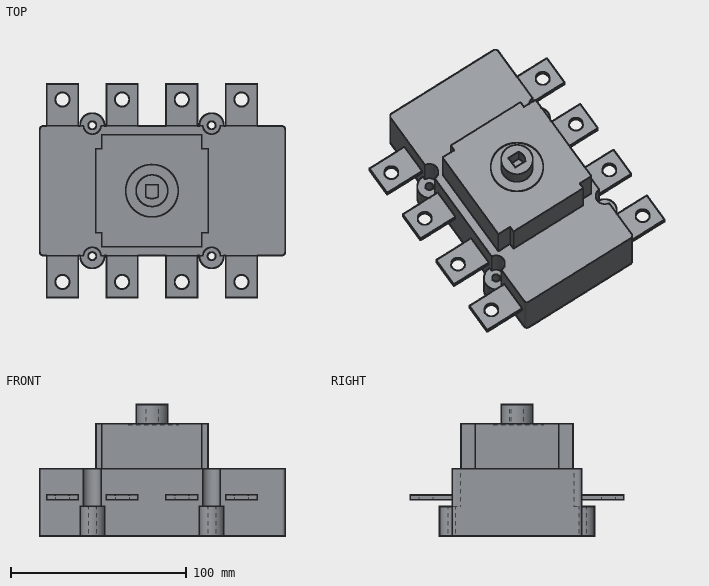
import cadquery as cq

body_length = 140.0
body_width = 73.9
body_height = 38.5
body_left_reach = 64.0
body_corner_radius = 2.0

cover_size = 64.0
cover_neck_length = 57.0
cover_wing_width = 47.9
cover_height = 25.6

knob_diameter = 18.0
total_height = 75.0
recess_diameter = 30.0
recess_depth = 0.5
socket_size = 7.0
socket_bulge = 1.0

terminal_pitch = 34.0
terminal_count = 4
terminal_width = 18.0
terminal_thickness = 3.0
terminal_bottom = 20.6
terminal_span = 122.0
terminal_hole_diameter = 8.0
terminal_hole_spacing = 104.0

post_spacing_x = 2 * terminal_pitch
post_spacing_y = 74.6
post_diameter = 14.0
post_height = 17.0
post_hole_diameter = 4.5
channel_diameter = 10.1

cover_top = body_height + cover_height
recess_floor = cover_top - recess_depth
socket_depth = total_height - cover_top


def block(length, width, height, bottom):
    """Box centred on the Z axis, standing on the given level."""
    return (
        cq.Workplane("XY")
        .workplane(offset=bottom)
        .rect(length, width)
        .extrude(height)
    )


def cylinders(points, diameter, bottom, top):
    """Upright cylinders of one diameter at several places."""
    return (
        cq.Workplane("XY")
        .workplane(offset=bottom)
        .pushPoints(points)
        .circle(diameter / 2)
        .extrude(top - bottom)
    )


def make_body():
    body_center_x = body_length / 2 - body_left_reach
    body = block(body_length, body_width, body_height, 0)
    return body.edges("|Z").fillet(body_corner_radius).translate((body_center_x, 0, 0))


def make_cover():
    neck = block(cover_neck_length, cover_size, cover_height, body_height)
    wings = block(cover_size, cover_wing_width, cover_height, body_height)
    recess = cylinders([(0, 0)], recess_diameter, recess_floor, cover_top)
    return neck.union(wings).cut(recess)


def make_knob():
    """Round knob with a square socket whose -Y wall bulges outwards."""
    half = socket_size / 2
    socket = (
        cq.Workplane("XY")
        .workplane(offset=total_height - socket_depth)
        .moveTo(half, -half)
        .lineTo(half, half)
        .lineTo(-half, half)
        .lineTo(-half, -half)
        .threePointArc((0, -half - socket_bulge), (half, -half))
        .close()
        .extrude(socket_depth)
    )
    return cylinders([(0, 0)], knob_diameter, recess_floor, total_height).cut(socket)


def make_terminals():
    """Strips across the body, so each one shows as a terminal on both sides."""
    terminal_top = terminal_bottom + terminal_thickness
    first_x = -terminal_pitch * (terminal_count - 1) / 2
    centers_x = [first_x + i * terminal_pitch for i in range(terminal_count)]
    strips = (
        cq.Workplane("XY")
        .workplane(offset=terminal_bottom)
        .pushPoints([(x, 0) for x in centers_x])
        .rect(terminal_width, terminal_span)
        .extrude(terminal_thickness)
    )
    hole_y = terminal_hole_spacing / 2
    hole_points = [(x, y) for x in centers_x for y in (-hole_y, hole_y)]
    holes = cylinders(hole_points, terminal_hole_diameter, terminal_bottom, terminal_top)
    return strips.cut(holes)


post_points = [
    (x, y)
    for x in (-post_spacing_x / 2, post_spacing_x / 2)
    for y in (-post_spacing_y / 2, post_spacing_y / 2)
]
posts = cylinders(post_points, post_diameter, 0, post_height)
post_holes = cylinders(post_points, post_hole_diameter, 0, post_height)
post_channels = cylinders(post_points, channel_diameter, post_height, body_height)

base = make_body().cut(post_channels).union(posts).cut(post_holes)
result = base.union(make_terminals()).union(make_cover()).union(make_knob())